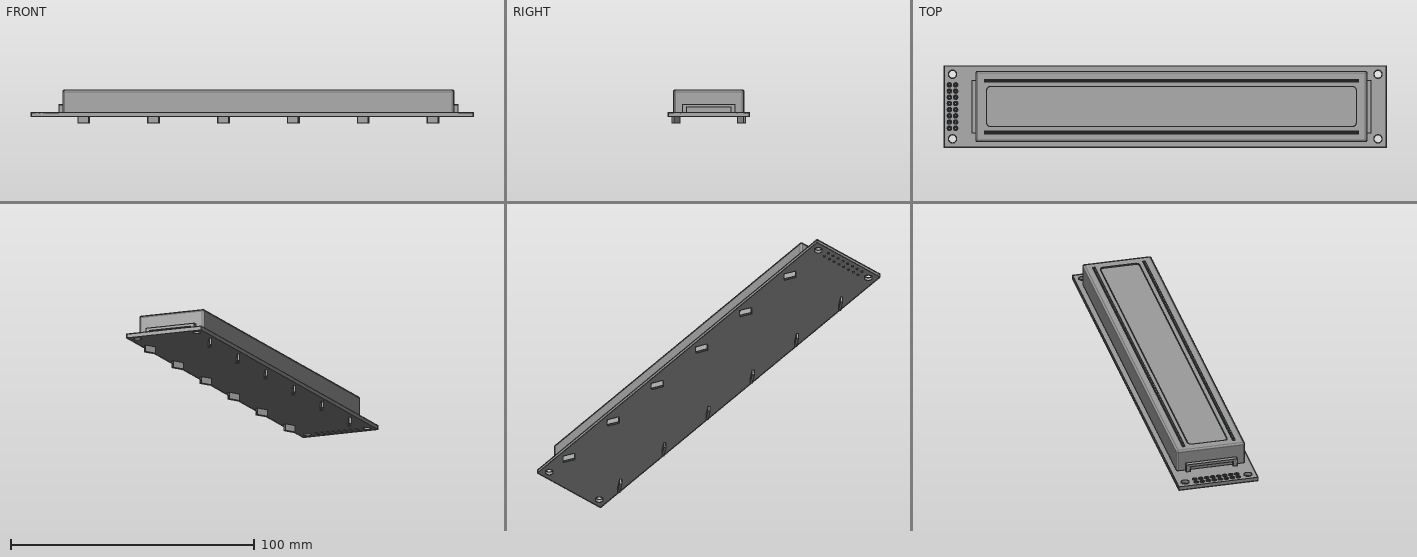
import cadquery as cq

board_length = 182.0
board_width = 33.5
board_thickness = 1.6
mount_hole_diameter = 3.3
mount_hole_inset = 3.5

pad_diameter = 1.8
pad_hole_diameter = 0.82
pad_height = 0.1
pad_pitch = 2.5
pad_columns = 2
pad_rows = 8
pad_field_x = 3.5

bezel_left = 13.1
bezel_length = 160.9
bezel_width = 29.0
bezel_height = 9.3
bezel_edge_radius = 0.7
bezel_center_x = bezel_left + bezel_length / 2
board_center_y = board_width / 2

window_length = 152.2
window_width = 16.5
window_corner_radius = 1.6
window_depth = 0.5

groove_length = 153.8
groove_width = 1.1
groove_floor_width = 0.4
groove_depth = 0.5
groove_spacing = 21.3

bracket_projection = 1.73
bracket_width = 21.7
bracket_height = 3.3
bracket_opening_width = 18.2
bracket_opening_height = 2.2

tab_count = 6
tab_pitch = 28.8
tab_length = 5.1
tab_thickness = 1.0
tab_drop = 2.7
tab_twist = 30.0
tab_row_inset = 3.3
tab_row_spacing = board_width - 2 * tab_row_inset


def make_board():
    """Flat board with a mounting hole in each corner."""
    board = cq.Workplane("XY").box(board_length, board_width, board_thickness)
    hole_spacing_x = board_length - 2 * mount_hole_inset
    hole_spacing_y = board_width - 2 * mount_hole_inset
    board = (
        board.faces(">Z").workplane()
        .rarray(hole_spacing_x, hole_spacing_y, 2, 2)
        .hole(mount_hole_diameter)
    )
    return board.translate((board_length / 2, board_center_y, -board_thickness / 2))


def pad_field(diameter, bottom, height):
    """Cylinders on every terminal position."""
    return (
        cq.Workplane("XY", origin=(pad_field_x, board_center_y, bottom))
        .rarray(pad_pitch, pad_pitch, pad_columns, pad_rows)
        .circle(diameter / 2)
        .extrude(height)
    )


def make_bezel():
    """Rounded display housing with its window and grooves."""
    bezel = (
        cq.Workplane("XY")
        .box(bezel_length, bezel_width, bezel_height, centered=(True, True, False))
        .edges("|Z or >Z").fillet(bezel_edge_radius)
    )
    window = (
        cq.Workplane("XY", origin=(0, 0, bezel_height - window_depth))
        .rect(window_length, window_width)
        .extrude(window_depth)
        .edges("|Z").fillet(window_corner_radius)
    )
    bezel = bezel.cut(window)
    for side in (-1, 1):
        groove = (
            cq.Workplane("YZ", origin=(0, side * groove_spacing / 2, bezel_height))
            .moveTo(-groove_width / 2, 0)
            .lineTo(groove_width / 2, 0)
            .lineTo(groove_floor_width / 2, -groove_depth)
            .lineTo(-groove_floor_width / 2, -groove_depth)
            .close()
            .extrude(groove_length / 2, both=True)
        )
        bezel = bezel.cut(groove)
    return bezel.translate((bezel_center_x, board_center_y, 0))


def make_brackets():
    """Pair of arches reaching past the bezel ends; the opening stops at the bezel."""
    span = bezel_length + 2 * bracket_projection
    arches = cq.Workplane("XY").box(span, bracket_width, bracket_height, centered=(True, True, False))
    opening = cq.Workplane("XY").box(
        span, bracket_opening_width, bracket_opening_height, centered=(True, True, False)
    )
    return arches.cut(opening).translate((bezel_center_x, board_center_y, 0))


def make_tab_row(side):
    """Row of twisted tabs on one long side; the two rows twist in mirrored directions."""
    row_y = board_center_y + side * tab_row_spacing / 2
    tab_profile = cq.Sketch().rect(tab_length, tab_thickness, angle=side * tab_twist)
    return (
        cq.Workplane("XY", origin=(bezel_center_x, row_y, -board_thickness))
        .rarray(tab_pitch, 1.8, tab_count, 1)
        .placeSketch(tab_profile)
        .extrude(-tab_drop)
    )


pads = pad_field(pad_diameter, 0, pad_height)
pad_holes = pad_field(pad_hole_diameter, -board_thickness, board_thickness + pad_height)

result = make_board().union(make_bezel()).union(make_brackets()).union(pads).cut(pad_holes)
for side in (-1, 1):
    result = result.union(make_tab_row(side))